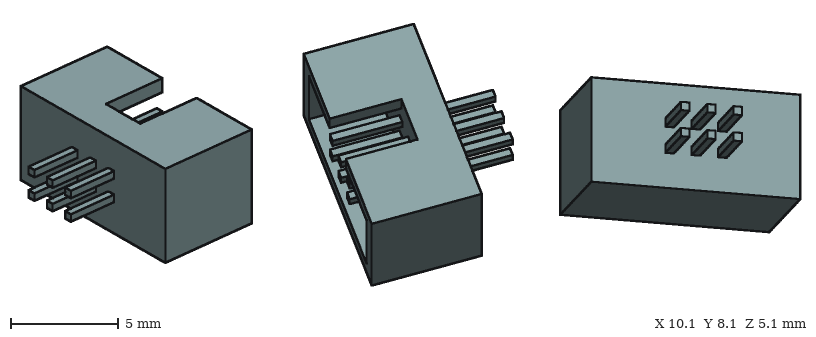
import cadquery as cq

width = 10.11
height = 5.1
body_depth = 5.4
wall = 0.77
cavity_depth = 3.52

notch_width = 2.4

pin_size = 0.4
pin_pitch = 1.27
pin_columns = 3
pin_rows = 2
tail_length = 2.7
mouth_clearance = 0.1

mouth_y = body_depth
floor_y = mouth_y - cavity_depth


def box(size_x, size_y, size_z, start_y):
    """Box centred on X and Z, running from start_y towards +Y."""
    return cq.Workplane("XY").box(size_x, size_y, size_z).translate((0, start_y + size_y / 2, 0))


def make_shroud():
    body = box(width, body_depth, height, 0)
    cavity = box(width - 2 * wall, cavity_depth, height - 2 * wall, floor_y)
    notch = box(notch_width, cavity_depth, height / 2, floor_y).translate((0, 0, height / 4))
    return body.cut(cavity).cut(notch)


def make_pin(column, row):
    x = (column - (pin_columns - 1) / 2) * pin_pitch
    z = (row - (pin_rows - 1) / 2) * pin_pitch
    length = tail_length + body_depth - mouth_clearance
    return box(pin_size, length, pin_size, -tail_length).translate((x, 0, z))


result = make_shroud()
for column in range(pin_columns):
    for row in range(pin_rows):
        result = result.union(make_pin(column, row))